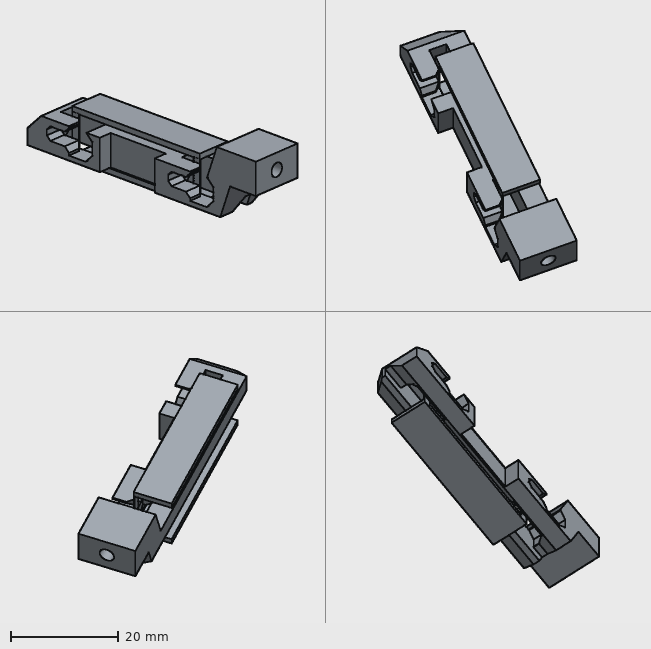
import cadquery as cq


LENGTH = 58.0
DEPTH = 11.5
BAR_HEIGHT = 7.0
BAR_BOTTOM = 2.0
BAR_TOP = BAR_BOTTOM + BAR_HEIGHT
HEAD_TOP = BAR_TOP + BAR_HEIGHT
NOSE_CHAMFER = 3.55

HEAD_LENGTH = 9.9
HEAD_START = LENGTH - HEAD_LENGTH
NECK_RUN = 2.5
NECK_START = HEAD_START - NECK_RUN
NECK_WIDTH = 5.85
HEAD_UNDERSIDE_START = NECK_START + NECK_WIDTH
BAR_END = HEAD_UNDERSIDE_START - NECK_RUN
HEAD_HOLE_DIAMETER = 2.9
HEAD_HOLE_Y = DEPTH / 2
HEAD_HOLE_Z = HEAD_TOP - BAR_HEIGHT / 2

FRONT_WALL = 3.8
POCKET_WIDTH = 3.4
POCKET_BACK = FRONT_WALL + POCKET_WIDTH
CHANNEL_HEIGHT = 2.6
CHANNEL_TOP = BAR_BOTTOM + CHANNEL_HEIGHT
CHANNEL_FRONT = 3.35
LEG_BOTTOM = BAR_BOTTOM + 0.2
LEG_CHAMFER = 2.9

RECESS_START = 18.4
RECESS_LENGTH = 14.0
RECESS_DEPTH = 3.0

KEYHOLE_STARTS = (5.0, 35.7)
SLOT_LENGTH = 4.5
SLOT_BOTTOM = CHANNEL_TOP
SLOT_TOP = SLOT_BOTTOM + 2.95
SLOT_CHAMFER = 0.85
ENTRY_WIDTH = 6.95
ENTRY_BOTTOM = BAR_BOTTOM + 1.05
ENTRY_LEAD_IN = 1.05
ENTRY_END = SLOT_LENGTH + ENTRY_WIDTH
ENTRY_LOWER_CHAMFER = 1.7
ENTRY_SIDE_BOTTOM = ENTRY_BOTTOM + ENTRY_LOWER_CHAMFER
ENTRY_UPPER_CHAMFER = BAR_TOP - SLOT_TOP
POCKET_TIP_CHAMFER = 1.15

FRAME_START = 7.9
FRAME_LENGTH = 32.35
FRAME_END = FRAME_START + FRAME_LENGTH
FRAME_HEIGHT = 11.1
PLATE_THICKNESS = 1.2
STRIP_WIDTH = 1.6
STRIP_THICKNESS = 0.25


def box(x_range, y_range, z_range):
    """Box spanning the three given (low, high) ranges."""
    low, high = zip(x_range, y_range, z_range)
    sizes = [end - start for start, end in zip(low, high)]
    return cq.Workplane("XY").box(*sizes, centered=False).translate(low)


def front_prism(points, y_start, y_end):
    """Extrude an X-Z outline from y_start back to y_end."""
    outline = cq.Workplane("XZ", origin=(0, y_start, 0)).polyline(points).close()
    return outline.extrude(y_start - y_end)


def plan_prism(points, z_start, z_end):
    """Extrude an X-Y outline from z_start up to z_end."""
    outline = cq.Workplane("XY", origin=(0, 0, z_start)).polyline(points).close()
    return outline.extrude(z_end - z_start)


def make_blank():
    """Side outline of the bar, neck and head, with the back corner of the nose cut off."""
    blank = front_prism(
        [
            (0, BAR_BOTTOM),
            (BAR_END, BAR_BOTTOM),
            (HEAD_UNDERSIDE_START, BAR_TOP),
            (LENGTH, BAR_TOP),
            (LENGTH, HEAD_TOP),
            (HEAD_START, HEAD_TOP),
            (NECK_START, BAR_TOP),
            (NOSE_CHAMFER, BAR_TOP),
            (0, BAR_TOP - NOSE_CHAMFER),
        ],
        0,
        DEPTH,
    )
    nose_corner = plan_prism(
        [(0, DEPTH), (NOSE_CHAMFER, DEPTH), (0, DEPTH - NOSE_CHAMFER)], BAR_BOTTOM, BAR_TOP
    )
    return blank.cut(nose_corner)


def underside_cut():
    """Sloped channel, with the shortened and chamfered leg behind it."""
    outline = [
        (CHANNEL_FRONT, BAR_BOTTOM),
        (CHANNEL_FRONT + CHANNEL_HEIGHT, CHANNEL_TOP),
        (POCKET_BACK, CHANNEL_TOP),
        (POCKET_BACK, LEG_BOTTOM),
        (DEPTH - LEG_CHAMFER, LEG_BOTTOM),
        (DEPTH, LEG_BOTTOM + LEG_CHAMFER),
        (DEPTH, BAR_BOTTOM),
    ]
    return cq.Workplane("YZ").polyline(outline).close().extrude(LENGTH)


def recess_cut():
    return box(
        (RECESS_START, RECESS_START + RECESS_LENGTH), (0, RECESS_DEPTH), (BAR_BOTTOM, BAR_TOP)
    )


def head_hole():
    hole = cq.Workplane("YZ").center(HEAD_HOLE_Y, HEAD_HOLE_Z).circle(HEAD_HOLE_DIAMETER / 2)
    return hole.extrude(LENGTH)


def keyhole_opening():
    """Narrow slot that widens into an entry open at the top, through the front wall."""
    entry_start = SLOT_LENGTH + ENTRY_LEAD_IN
    outline = [
        (SLOT_CHAMFER, SLOT_BOTTOM),
        (SLOT_LENGTH, SLOT_BOTTOM),
        (entry_start, SLOT_BOTTOM - ENTRY_LEAD_IN),
        (entry_start, ENTRY_BOTTOM),
        (ENTRY_END - ENTRY_LOWER_CHAMFER, ENTRY_BOTTOM),
        (ENTRY_END, ENTRY_SIDE_BOTTOM),
        (ENTRY_END, SLOT_TOP),
        (ENTRY_END - ENTRY_UPPER_CHAMFER, BAR_TOP),
        (entry_start, BAR_TOP),
        (entry_start, SLOT_TOP + ENTRY_LEAD_IN),
        (SLOT_LENGTH, SLOT_TOP),
        (SLOT_CHAMFER, SLOT_TOP),
        (0, SLOT_TOP - SLOT_CHAMFER),
        (0, SLOT_BOTTOM + SLOT_CHAMFER),
    ]
    return front_prism(outline, 0, FRONT_WALL)


def keyhole_lead_in():
    """Bevel on the inner side of the front wall, from the entry toward the slot."""
    corner = [
        (SLOT_LENGTH, FRONT_WALL),
        (SLOT_LENGTH + ENTRY_LEAD_IN, FRONT_WALL),
        (SLOT_LENGTH + ENTRY_LEAD_IN, FRONT_WALL - ENTRY_LEAD_IN),
    ]
    return plan_prism(corner, ENTRY_BOTTOM, BAR_TOP)


def keyhole_pocket():
    """Pocket behind the keyhole, open at the top and bottom; its sloped side continues the entry's."""
    outline = [
        (POCKET_TIP_CHAMFER, BAR_BOTTOM),
        (ENTRY_END - (ENTRY_SIDE_BOTTOM - BAR_BOTTOM), BAR_BOTTOM),
        (ENTRY_END, ENTRY_SIDE_BOTTOM),
        (ENTRY_END, SLOT_TOP),
        (ENTRY_END - ENTRY_UPPER_CHAMFER, BAR_TOP),
        (0, BAR_TOP),
        (0, BAR_BOTTOM + POCKET_TIP_CHAMFER),
    ]
    return front_prism(outline, FRONT_WALL, POCKET_BACK)


def make_housing():
    housing = make_blank().cut(underside_cut()).cut(recess_cut()).cut(head_hole())
    for start in KEYHOLE_STARTS:
        for cutter in (keyhole_opening(), keyhole_lead_in(), keyhole_pocket()):
            housing = housing.cut(cutter.translate((start, 0, 0)))
    return housing


def make_frame():
    """Two flat plates, above and below the bar, joined by a thin strip at each front corner."""
    plate_x = (FRAME_START, FRAME_END)
    plate_y = (FRONT_WALL, DEPTH)
    strip_y = (FRONT_WALL, FRONT_WALL + STRIP_THICKNESS)
    frame = box(plate_x, plate_y, (0, PLATE_THICKNESS))
    frame = frame.union(box(plate_x, plate_y, (FRAME_HEIGHT - PLATE_THICKNESS, FRAME_HEIGHT)))
    for start in (FRAME_START, FRAME_END - STRIP_WIDTH):
        frame = frame.union(box((start, start + STRIP_WIDTH), strip_y, (0, FRAME_HEIGHT)))
    return frame


housing = make_housing()
frame = make_frame()
result = cq.Compound.makeCompound([*housing.solids().vals(), *frame.solids().vals()])